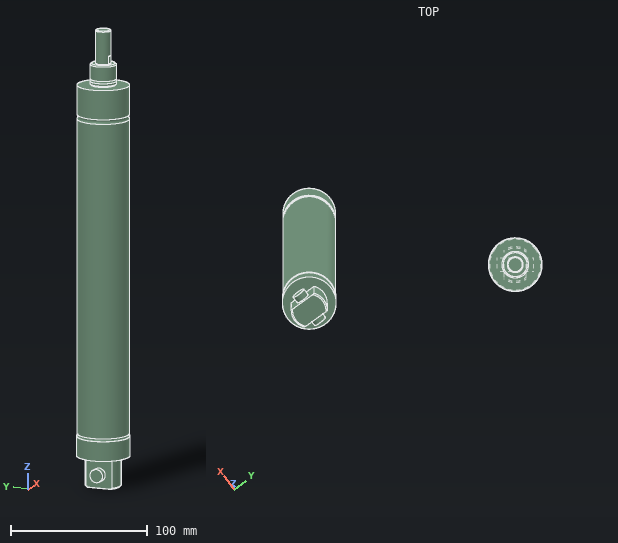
import cadquery as cq

TOTAL_HEIGHT = 343.0
CAP_BOTTOM = 23.0
CAP_TOP = 37.7
BARREL_TOP = 301.5
NOSE_TOP = 318.0
FLATS_TOP = 324.0

CAP_DIAMETER = 39.5
BARREL_DIAMETER = 38.8
HEAD_GROOVE_CENTER = 278.0
HEAD_GROOVE_WIDTH = 3.5
CAP_GROOVE_WIDTH = 2.0
BARREL_GROOVE_DEPTH = 0.7

NOSE_DIAMETER = 19.5
NOSE_CHAMFER = 1.0
NOSE_GROOVE_CENTER = 305.5
NOSE_GROOVE_WIDTH = 1.7
NOSE_GROOVE_DEPTH = 0.7

ROD_DIAMETER = 11.5
ROD_CHAMFER = 0.7
ROD_ACROSS_FLATS = 10.3
ROD_BOTTOM = HEAD_GROOVE_CENTER

TONGUE_DIAMETER = 26.5
TONGUE_THICKNESS = 16.0
TONGUE_CHAMFER = 1.0
PIN_DIAMETER = 10.0
PIN_LENGTH = TONGUE_DIAMETER
PIN_HEIGHT = 10.3


def cylinder(diameter, bottom, top):
    """Upright cylinder on the Z axis."""
    return cq.Workplane("XY").workplane(offset=bottom).circle(diameter / 2).extrude(top - bottom)


def ring_groove(diameter, center, width, depth):
    """Cutter for a rounded groove running around a cylinder on the Z axis."""
    radius = diameter / 2
    return (
        cq.Workplane("XZ")
        .moveTo(radius, center - width / 2)
        .threePointArc((radius - depth, center), (radius, center + width / 2))
        .close()
        .revolve(360, (0, 0, 0), (0, 1, 0))
    )


def make_tongue():
    """Round stub with two flats facing +X and -X and a chamfered bottom rim."""
    stub = cylinder(TONGUE_DIAMETER, 0, CAP_BOTTOM).faces("<Z").chamfer(TONGUE_CHAMFER)
    slab = cq.Workplane("XY").box(
        TONGUE_THICKNESS, TONGUE_DIAMETER, CAP_BOTTOM, centered=(True, True, False)
    )
    return stub.intersect(slab)


def make_nose():
    """Chamfered collar with a narrow groove near its base."""
    nose = cylinder(NOSE_DIAMETER, BARREL_TOP, NOSE_TOP).faces("<Z or >Z").chamfer(NOSE_CHAMFER)
    return nose.cut(
        ring_groove(NOSE_DIAMETER, NOSE_GROOVE_CENTER, NOSE_GROOVE_WIDTH, NOSE_GROOVE_DEPTH)
    )


def make_barrel():
    """Grooved barrel with its end cap, tongue and nose."""
    barrel = cylinder(BARREL_DIAMETER, CAP_TOP, BARREL_TOP)
    cap_groove_center = CAP_TOP + CAP_GROOVE_WIDTH / 2
    grooves = ((HEAD_GROOVE_CENTER, HEAD_GROOVE_WIDTH), (cap_groove_center, CAP_GROOVE_WIDTH))
    for center, width in grooves:
        barrel = barrel.cut(ring_groove(BARREL_DIAMETER, center, width, BARREL_GROOVE_DEPTH))
    cap = cylinder(CAP_DIAMETER, CAP_BOTTOM, CAP_TOP)
    return barrel.union(cap).union(make_tongue()).union(make_nose())


def make_rod():
    """Round rod with a chamfered tip and two wrench flats facing +Y and -Y."""
    rod = cylinder(ROD_DIAMETER, ROD_BOTTOM, TOTAL_HEIGHT).faces(">Z").chamfer(ROD_CHAMFER)
    flats_height = FLATS_TOP - NOSE_TOP
    flats_band = cylinder(ROD_DIAMETER, NOSE_TOP, FLATS_TOP)
    kept_slab = (
        cq.Workplane("XY")
        .workplane(offset=NOSE_TOP)
        .box(ROD_DIAMETER, ROD_ACROSS_FLATS, flats_height, centered=(True, True, False))
    )
    return rod.cut(flats_band.cut(kept_slab))


def make_pin():
    """Pivot pin along X, standing out evenly on both sides of the tongue."""
    return (
        cq.Workplane("YZ")
        .center(0, PIN_HEIGHT)
        .circle(PIN_DIAMETER / 2)
        .extrude(PIN_LENGTH / 2, both=True)
    )


rod = make_rod()
pin = make_pin()

rod_hole = cylinder(ROD_DIAMETER, ROD_BOTTOM, NOSE_TOP)
barrel = make_barrel().cut(rod_hole).cut(pin)

result = cq.Compound.makeCompound([barrel.val(), rod.val(), pin.val()])